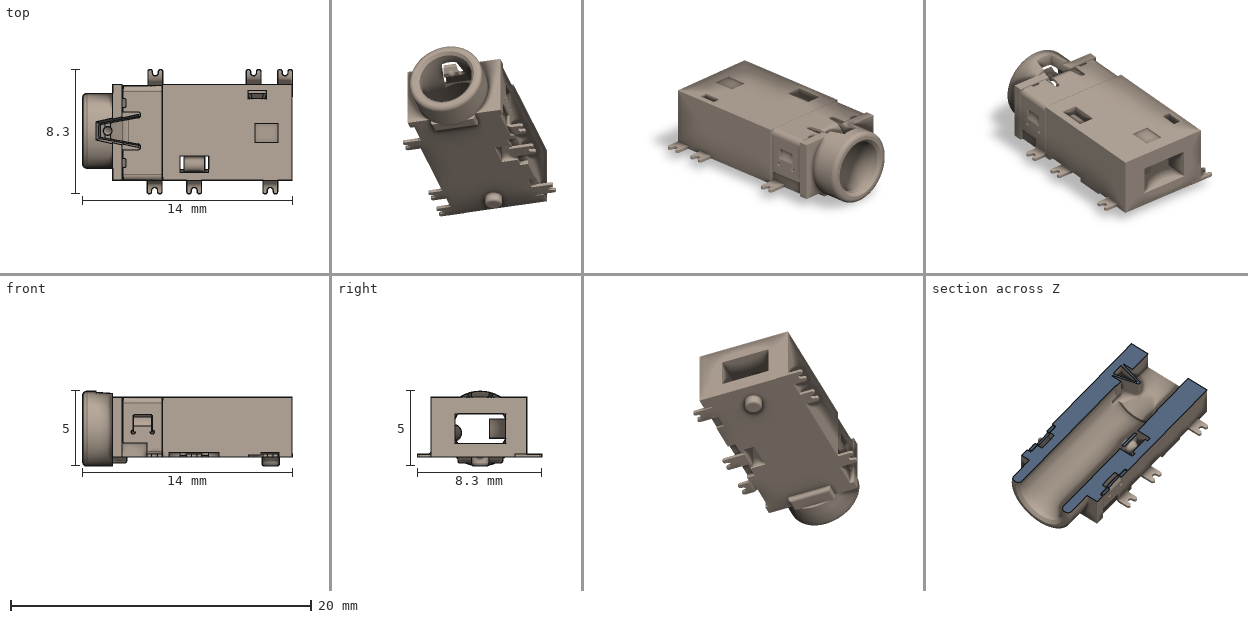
import cadquery as cq
import math


OVERALL_LENGTH = 14.0
NOZZLE_LENGTH = 2.0
NOZZLE_RADIUS = 2.5
NOZZLE_FILLET = 0.3
FLANGE_END = 2.63
NECK_END = 5.33
BODY_END = 13.97
BODY_FRONT_Y = -3.3
BODY_BACK_Y = 3.1
BODY_BOTTOM = -1.9
BODY_TOP = 2.1

SHEET = 0.2
FIT_GAP = 0.03
FLANGE_GAP = 0.07
CLIP_START = FLANGE_END + FLANGE_GAP
CLIP_END = NECK_END - FIT_GAP
CLIP_FRONT_Y = BODY_FRONT_Y
CLIP_BACK_Y = 3.02
CLIP_BEND = 0.38
CLIP_SKIRT_Z = -0.96
CORNER_RADIUS = 0.1

LEG_WIDTH = 1.0
LEG_TOP = BODY_BOTTOM + SHEET
LEG_FRONT_TIP = -4.2
LEG_BACK_TIP = 4.1
LEG_NOTCH_RADIUS = 0.19
LEG_NOTCH_DEPTH = 0.42
LEG_ROOT_DEPTH = 0.8
CLIP_LEG_START = CLIP_END - LEG_WIDTH
LEG_SLOT_HEIGHT = 0.3
LEG_SLOT_TOP = BODY_BOTTOM + LEG_SLOT_HEIGHT

BORE_RADIUS = 1.8
BORE_CHAMFER = 0.2
BORE_END = 10.5
TIP_RADIUS = 1.55
TIP_END_RADIUS = 0.9
TIP_END = 12.5
SLOT_START = 10.0
SLOT_HALF_HEIGHT = 0.98
SLOT_HALF_WIDTH = 1.68

TONGUE_TIP_X = 1.2
TONGUE_ROOT_X = 3.67
TONGUE_TIP_HALF = 0.43
TONGUE_ROOT_HALF = 0.87
OPENING_FLOOR_Z = 1.4
OPENING_FRONT_X = 0.89
OPENING_FRONT_HALF = 0.62
OPENING_BACK_X = 3.86
OPENING_BACK_HALF = 1.36
CLIP_SLOT_HALF = 1.27
TONGUE_BEND_X = 3.05
TONGUE_BEND_RADIUS = 0.7
TONGUE_SLOPE = math.radians(35)
TONGUE_LOW_X = (1.5, 1.85)
TONGUE_BEND_Z = BODY_TOP - TONGUE_BEND_RADIUS
TONGUE_RAMP_X = TONGUE_BEND_X - TONGUE_BEND_RADIUS * math.sin(TONGUE_SLOPE)
TONGUE_RAMP_Z = TONGUE_BEND_Z + TONGUE_BEND_RADIUS * math.cos(TONGUE_SLOPE)
TONGUE_LOW_Z = TONGUE_RAMP_Z - (TONGUE_RAMP_X - TONGUE_LOW_X[1]) * math.tan(TONGUE_SLOPE)
TONGUE_LIP_Z = 1.7
DIMPLE_RADIUS = 0.3
DIMPLE_RISE = 0.15

LATCH_X = (3.38, 4.64)
LATCH_Z = (-0.22, 0.95)
LATCH_BEND_Z = 0.18
LATCH_TIP_Z = 0.79
LATCH_LEAN = 0.25
LATCH_SIDE_GAP = 0.03
RELIEF_RADIUS = 0.14
POCKET_DEPTH = 0.6

SCALLOP_Y = (-2.14, 1.86)
SCALLOP_WIDTH = 0.6
SCALLOP_DEPTH = 0.19

SLEEVE_X = (6.5, 8.4)
SLEEVE_Y = (-2.77, -1.68)
SLEEVE_ARM_X = (6.76, 8.15)
SLEEVE_ARCH_TOP = 1.75
SLEEVE_ARM_BOTTOM = -0.7
SLEEVE_BASE_TOP = 0.0
SLEEVE_BASE_GAP = 0.12
SLEEVE_BASE_BOTTOM = BODY_BOTTOM + SLEEVE_BASE_GAP
SLEEVE_BUMP_RADIUS = 0.55
SLEEVE_BUMP_Y = -1.8
SLEEVE_BUMP_Z = -0.28
SLEEVE_LEG_X = 7.44
SLEEVE_SLOT_X = (5.77, 9.09)

TIP_WINDOW_X = (11.02, 12.26)
TIP_WINDOW_Y = (2.16, 2.69)
TIP_STRIP_TOP = 1.5
TIP_HALF_HEIGHT = 0.65
TIP_REACH_Y = 0.6

REAR_FRONT_LEG_X = 12.51
BACK_LEGS_X = (4.85, 11.4, OVERALL_LENGTH - LEG_WIDTH / 2)
REAR_SLOT_X = (11.9, 13.1)
SHALLOW_SLOT_X = (11.05, 11.9)
SHALLOW_SLOT_HEIGHT = 0.14
EDGE_SLOT_DEPTH = 0.55

MARK_X = (11.49, 13.02)
MARK_Y = (-0.76, 0.485)
MARK_DEPTH = 0.1
PIN_X = 12.54
PIN_DIAMETER = 1.15
PIN_BOTTOM = -NOZZLE_RADIUS
PIN_FILLET = 0.16
FOOT_END = 2.95
FOOT_HALF_WIDTH = 1.5
FOOT_BOTTOM = -2.3
FOOT_FILLET = 0.18


def block(x_range, y_range, z_range):
    """Axis-aligned box between the given limits, each given in either order."""
    sizes = [abs(b - a) for a, b in (x_range, y_range, z_range)]
    corner = tuple(min(limits) for limits in (x_range, y_range, z_range))
    return cq.Workplane("XY").box(*sizes, centered=False).translate(corner)


def leg(center_x, root_y, tip_y):
    """Flat solder leg with a round notch between two round-ended prongs."""
    out = math.copysign(1, tip_y - root_y)
    half = LEG_WIDTH / 2
    prong_radius = (half - LEG_NOTCH_RADIUS) / 2
    shoulder_y = tip_y - out * prong_radius
    prong_mid = half - prong_radius
    notch_bottom = tip_y - out * LEG_NOTCH_DEPTH
    notch_y = notch_bottom + out * LEG_NOTCH_RADIUS
    return (
        cq.Workplane("XY", origin=(center_x, 0, BODY_BOTTOM))
        .moveTo(-half, root_y)
        .lineTo(-half, shoulder_y)
        .threePointArc((-prong_mid, tip_y), (-LEG_NOTCH_RADIUS, shoulder_y))
        .lineTo(-LEG_NOTCH_RADIUS, notch_y)
        .threePointArc((0, notch_bottom), (LEG_NOTCH_RADIUS, notch_y))
        .lineTo(LEG_NOTCH_RADIUS, shoulder_y)
        .threePointArc((prong_mid, tip_y), (half, shoulder_y))
        .lineTo(half, root_y)
        .close()
        .extrude(SHEET)
    )


def v_outline(front_x, front_half, back_x, back_half):
    """Corners of a V-shaped outline that widens toward +X."""
    return [(front_x, -front_half), (front_x, front_half), (back_x, back_half), (back_x, -back_half)]



def housing_shell():
    nozzle = cq.Workplane("YZ").circle(NOZZLE_RADIUS).extrude(NOZZLE_LENGTH)
    nozzle = nozzle.faces("<X").edges().fillet(NOZZLE_FILLET)
    full_y = (BODY_FRONT_Y, BODY_BACK_Y)
    full_z = (BODY_BOTTOM, BODY_TOP)
    flange = block((NOZZLE_LENGTH, FLANGE_END), full_y, full_z)
    neck = block(
        (FLANGE_END, NECK_END),
        (CLIP_FRONT_Y + SHEET, CLIP_BACK_Y - SHEET),
        (BODY_BOTTOM, BODY_TOP - SHEET),
    )
    neck = neck.edges("|X and >Z").fillet(CLIP_BEND - SHEET)
    main = block((NECK_END, BODY_END), full_y, full_z)
    return nozzle.union(flange).union(neck).union(main)


def plug_bore():
    mouth_radius = BORE_RADIUS + BORE_CHAMFER
    return (
        cq.Workplane("XY")
        .polyline([
            (0, 0),
            (0, mouth_radius),
            (BORE_CHAMFER, BORE_RADIUS),
            (BORE_END, BORE_RADIUS),
            (BORE_END, TIP_RADIUS),
            (TIP_END, TIP_END_RADIUS),
            (TIP_END, 0),
        ])
        .close()
        .revolve(360, (0, 0, 0), (1, 0, 0))
    )


def rear_slot():
    return block(
        (SLOT_START, BODY_END),
        (-SLOT_HALF_WIDTH, SLOT_HALF_WIDTH),
        (-SLOT_HALF_HEIGHT, SLOT_HALF_HEIGHT),
    )


def tongue_opening():
    """V opening with leaning walls above a straight-walled throat into the bore."""
    lower = v_outline(
        TONGUE_TIP_X - FIT_GAP, TONGUE_TIP_HALF + FIT_GAP,
        TONGUE_ROOT_X + FIT_GAP, TONGUE_ROOT_HALF + FIT_GAP,
    )
    upper = v_outline(OPENING_FRONT_X, OPENING_FRONT_HALF, OPENING_BACK_X, OPENING_BACK_HALF)
    funnel = (
        cq.Workplane("XY", origin=(0, 0, OPENING_FLOOR_Z))
        .polyline(lower).close()
        .workplane(offset=NOZZLE_RADIUS - OPENING_FLOOR_Z)
        .polyline(upper).close()
        .loft(ruled=True)
    )
    throat = cq.Workplane("XY").polyline(lower).close().extrude(OPENING_FLOOR_Z)
    return funnel.union(throat)


def latch_pocket(outer_y):
    inward = -math.copysign(1, outer_y)
    return block(
        (LATCH_X[0] - FIT_GAP, LATCH_X[1] + FIT_GAP),
        (outer_y, outer_y + inward * POCKET_DEPTH),
        (LATCH_Z[0], LATCH_Z[1]),
    )


def contact_cavities():
    """Windows and bottom slots that take the contacts and their legs."""
    through_z = (BODY_BOTTOM, BODY_TOP)
    slot_z = (BODY_BOTTOM, LEG_SLOT_TOP)
    edge_y = (BODY_FRONT_Y, BODY_FRONT_Y + EDGE_SLOT_DEPTH)
    sleeve_window = block(SLEEVE_X, SLEEVE_Y, through_z)
    sleeve_slot = block(SLEEVE_SLOT_X, edge_y, slot_z)
    tip_window = block(TIP_WINDOW_X, TIP_WINDOW_Y, (-SLOT_HALF_HEIGHT, BODY_TOP))
    tip_recess = block(
        TIP_WINDOW_X, (0, TIP_WINDOW_Y[1]), (-SLOT_HALF_HEIGHT, SLOT_HALF_HEIGHT)
    )
    rear_leg_slot = block(REAR_SLOT_X, edge_y, slot_z)
    shallow_slot = block(
        SHALLOW_SLOT_X, edge_y, (BODY_BOTTOM, BODY_BOTTOM + SHALLOW_SLOT_HEIGHT)
    )
    cavities = sleeve_window.union(sleeve_slot).union(tip_window).union(tip_recess)
    return cavities.union(rear_leg_slot).union(shallow_slot)


def sleeve_contact():
    """Arched spring with a round bump that reaches into the bore."""
    outer_y, inner_y = SLEEVE_Y
    radius = (inner_y - outer_y) / 2
    middle_y = (inner_y + outer_y) / 2
    arch_z = SLEEVE_ARCH_TOP - radius
    arm_length = SLEEVE_ARM_X[1] - SLEEVE_ARM_X[0]
    spring = (
        cq.Workplane("YZ", origin=(SLEEVE_ARM_X[0], 0, 0))
        .moveTo(outer_y, SLEEVE_BASE_BOTTOM)
        .lineTo(outer_y, arch_z)
        .threePointArc((middle_y, SLEEVE_ARCH_TOP), (inner_y, arch_z))
        .lineTo(inner_y, SLEEVE_ARM_BOTTOM)
        .lineTo(inner_y - SHEET, SLEEVE_ARM_BOTTOM)
        .lineTo(inner_y - SHEET, arch_z)
        .threePointArc((middle_y, SLEEVE_ARCH_TOP - SHEET), (outer_y + SHEET, arch_z))
        .lineTo(outer_y + SHEET, SLEEVE_BASE_BOTTOM)
        .close()
        .extrude(arm_length)
    )
    base = block(SLEEVE_X, (outer_y, outer_y + SHEET), (SLEEVE_BASE_BOTTOM, SLEEVE_BASE_TOP))
    bump = cq.Workplane("XY").sphere(SLEEVE_BUMP_RADIUS)
    bump = bump.translate((SLEEVE_LEG_X, SLEEVE_BUMP_Y, SLEEVE_BUMP_Z))
    return spring.union(base).union(bump).union(leg(SLEEVE_LEG_X, outer_y + SHEET, LEG_FRONT_TIP))


def tip_contact():
    """Strip along the +Y wall with a V spring bent toward the axis."""
    wall_y = TIP_WINDOW_Y[1]
    near_x, far_x = TIP_WINDOW_X
    middle_x = (near_x + far_x) / 2
    strip = block(TIP_WINDOW_X, (wall_y - SHEET, wall_y), (-SLOT_HALF_HEIGHT, TIP_STRIP_TOP))
    spring = (
        cq.Workplane("XY", origin=(0, 0, -TIP_HALF_HEIGHT))
        .polyline([
            (near_x, wall_y - SHEET),
            (middle_x - SHEET / 2, TIP_REACH_Y),
            (middle_x + SHEET / 2, TIP_REACH_Y),
            (far_x, wall_y - SHEET),
            (far_x - SHEET, wall_y - SHEET),
            (middle_x, TIP_REACH_Y + SHEET),
            (near_x + SHEET, wall_y - SHEET),
        ])
        .close()
        .extrude(2 * TIP_HALF_HEIGHT)
    )
    return strip.union(spring)


def board_features():
    """Locating pin under the rear end and a foot under the flange."""
    pin = (
        cq.Workplane("XY", origin=(PIN_X, 0, PIN_BOTTOM))
        .circle(PIN_DIAMETER / 2)
        .extrude(BODY_BOTTOM - PIN_BOTTOM)
        .faces("<Z").edges().fillet(PIN_FILLET)
    )
    foot = block(
        (NOZZLE_LENGTH, FOOT_END), (-FOOT_HALF_WIDTH, FOOT_HALF_WIDTH), (FOOT_BOTTOM, BODY_BOTTOM)
    )
    foot = foot.edges("<Z and (not <X)").fillet(FOOT_FILLET)
    return pin.union(foot)


def make_housing():
    body = housing_shell().union(board_features())
    body = body.cut(plug_bore()).cut(rear_slot()).cut(tongue_opening())
    for outer_y in (CLIP_FRONT_Y, CLIP_BACK_Y):
        body = body.cut(latch_pocket(outer_y))
    body = body.cut(block(MARK_X, MARK_Y, (BODY_TOP - MARK_DEPTH, BODY_TOP)))
    body = body.cut(contact_cavities())
    body = body.union(sleeve_contact()).union(tip_contact())
    body = body.union(leg(REAR_FRONT_LEG_X, BODY_FRONT_Y + LEG_ROOT_DEPTH, LEG_FRONT_TIP))
    for center_x in BACK_LEGS_X:
        body = body.union(leg(center_x, BODY_BACK_Y - LEG_ROOT_DEPTH, LEG_BACK_TIP))
    return body



def clip_cover():
    """Sheet bent over the top and both sides of the neck."""
    x_range = (CLIP_START, CLIP_END)
    outer = block(x_range, (CLIP_FRONT_Y, CLIP_BACK_Y), (CLIP_SKIRT_Z, BODY_TOP))
    outer = outer.edges("|X and >Z").fillet(CLIP_BEND)
    inner = block(
        x_range, (CLIP_FRONT_Y + SHEET, CLIP_BACK_Y - SHEET), (CLIP_SKIRT_Z, BODY_TOP - SHEET)
    )
    inner = inner.edges("|X and >Z").fillet(CLIP_BEND - SHEET)
    cover = outer.cut(inner)
    return cover.edges("|Y and <Z and <X").fillet(CORNER_RADIUS)


def clip_leg():
    """Strip that runs down from the skirt and bends outward into a solder leg."""
    outer_y = CLIP_FRONT_Y
    inner_y = outer_y + SHEET
    inside_bend = CLIP_BEND - SHEET
    diagonal = math.sqrt(0.5)
    bend_y = outer_y - inside_bend
    bend_z = LEG_TOP + inside_bend
    strip = (
        cq.Workplane("YZ", origin=(CLIP_LEG_START, 0, 0))
        .moveTo(outer_y, CLIP_SKIRT_Z)
        .lineTo(outer_y, bend_z)
        .threePointArc(
            (bend_y + inside_bend * diagonal, bend_z - inside_bend * diagonal),
            (bend_y, LEG_TOP),
        )
        .lineTo(bend_y, BODY_BOTTOM)
        .threePointArc(
            (bend_y + CLIP_BEND * diagonal, bend_z - CLIP_BEND * diagonal),
            (inner_y, bend_z),
        )
        .lineTo(inner_y, CLIP_SKIRT_Z)
        .close()
        .extrude(LEG_WIDTH)
    )
    return strip.union(leg(CLIP_LEG_START + LEG_WIDTH / 2, bend_y, LEG_FRONT_TIP))


def latch_window(outer_y):
    """Window with chamfered upper corners and round reliefs at the lower corners."""
    out = math.copysign(1, outer_y)
    window = block(LATCH_X, (outer_y, outer_y - out * SHEET), LATCH_Z)
    window = window.edges("|Y and >Z").chamfer(CORNER_RADIUS)
    for corner_x in LATCH_X:
        relief = cq.Workplane("XZ", origin=(corner_x, outer_y, LATCH_Z[0])).circle(RELIEF_RADIUS)
        window = window.union(relief.extrude(out * SHEET))
    return window


def latch_tab(outer_y):
    """Tab that rises from the window's lower edge and leans inward."""
    inward = -math.copysign(1, outer_y)
    thickness = inward * SHEET
    lean = inward * LATCH_LEAN
    width = LATCH_X[1] - LATCH_X[0] - 2 * LATCH_SIDE_GAP
    return (
        cq.Workplane("YZ", origin=(LATCH_X[0] + LATCH_SIDE_GAP, 0, 0))
        .polyline([
            (outer_y, LATCH_Z[0]),
            (outer_y, LATCH_BEND_Z),
            (outer_y + lean, LATCH_TIP_Z),
            (outer_y + lean + thickness, LATCH_TIP_Z),
            (outer_y + thickness, LATCH_BEND_Z),
            (outer_y + thickness, LATCH_Z[0]),
        ])
        .close()
        .extrude(width)
    )


def tongue_slot(side):
    """Cut beside the tongue, straight outside, slanted inside and round at the end."""
    slope = (TONGUE_ROOT_HALF - TONGUE_TIP_HALF) / (TONGUE_ROOT_X - TONGUE_TIP_X)
    start_half = TONGUE_ROOT_HALF - slope * (TONGUE_ROOT_X - CLIP_START)
    end_radius = (CLIP_SLOT_HALF - TONGUE_ROOT_HALF) / 2
    end_y = TONGUE_ROOT_HALF + end_radius
    return (
        cq.Workplane("XY", origin=(0, 0, BODY_TOP - SHEET))
        .moveTo(CLIP_START, side * CLIP_SLOT_HALF)
        .lineTo(TONGUE_ROOT_X, side * CLIP_SLOT_HALF)
        .threePointArc((TONGUE_ROOT_X + end_radius, side * end_y), (TONGUE_ROOT_X, side * TONGUE_ROOT_HALF))
        .lineTo(CLIP_START, side * start_half)
        .close()
        .extrude(SHEET)
    )


def bend_point(radius, angle):
    """Point (x, z) on the tongue's bend, turned by angle from the bend's start."""
    return (TONGUE_BEND_X - radius * math.sin(angle), TONGUE_BEND_Z + radius * math.cos(angle))


def tongue():
    """Tapered spring that dips through the V opening and turns up at its tip."""
    low_front, low_back = TONGUE_LOW_X
    inside_radius = TONGUE_BEND_RADIUS - SHEET
    under_low_x = low_back + SHEET * math.tan(TONGUE_SLOPE / 2)
    profile = (
        cq.Workplane("XZ")
        .moveTo(TONGUE_ROOT_X, BODY_TOP)
        .lineTo(TONGUE_BEND_X, BODY_TOP)
        .threePointArc(bend_point(TONGUE_BEND_RADIUS, TONGUE_SLOPE / 2), (TONGUE_RAMP_X, TONGUE_RAMP_Z))
        .lineTo(low_back, TONGUE_LOW_Z)
        .lineTo(low_front, TONGUE_LOW_Z)
        .lineTo(TONGUE_TIP_X, TONGUE_LIP_Z)
        .lineTo(TONGUE_TIP_X, TONGUE_LIP_Z - SHEET)
        .lineTo(low_front, TONGUE_LOW_Z - SHEET)
        .lineTo(under_low_x, TONGUE_LOW_Z - SHEET)
        .lineTo(*bend_point(inside_radius, TONGUE_SLOPE))
        .threePointArc(bend_point(inside_radius, TONGUE_SLOPE / 2), bend_point(inside_radius, 0))
        .lineTo(TONGUE_ROOT_X, BODY_TOP - SHEET)
        .close()
        .extrude(TONGUE_ROOT_HALF, both=True)
    )
    outline = v_outline(TONGUE_TIP_X, TONGUE_TIP_HALF, TONGUE_ROOT_X, TONGUE_ROOT_HALF)
    plan = cq.Workplane("XY").polyline(outline).close().extrude(BODY_TOP)
    dimple_x = sum(TONGUE_LOW_X) / 2
    dimple = cq.Workplane("XY").sphere(DIMPLE_RADIUS)
    hollow = dimple.translate((dimple_x, 0, TONGUE_LOW_Z + DIMPLE_RISE))
    bump = dimple.translate((dimple_x, 0, TONGUE_LOW_Z + DIMPLE_RISE - SHEET))
    return profile.intersect(plan).union(bump).cut(hollow)


def make_clip():
    clip = clip_cover()
    plate_z = (BODY_TOP - SHEET, BODY_TOP)
    front_part = block((CLIP_START, TONGUE_ROOT_X), (-TONGUE_ROOT_HALF, TONGUE_ROOT_HALF), plate_z)
    clip = clip.cut(front_part).union(tongue())
    for side in (-1, 1):
        clip = clip.cut(tongue_slot(side))
    for center_y in SCALLOP_Y:
        scallop_y = (center_y - SCALLOP_WIDTH / 2, center_y + SCALLOP_WIDTH / 2)
        scallop = block((CLIP_START, CLIP_START + SCALLOP_DEPTH), scallop_y, plate_z)
        clip = clip.cut(scallop.edges("|Z and >X").fillet(CORNER_RADIUS))
    clip = clip.union(clip_leg())
    for outer_y in (CLIP_FRONT_Y, CLIP_BACK_Y):
        clip = clip.cut(latch_window(outer_y)).union(latch_tab(outer_y))
    return clip


housing = make_housing()
clip = make_clip()
result = cq.Compound.makeCompound([housing.solids().val(), clip.solids().val()])